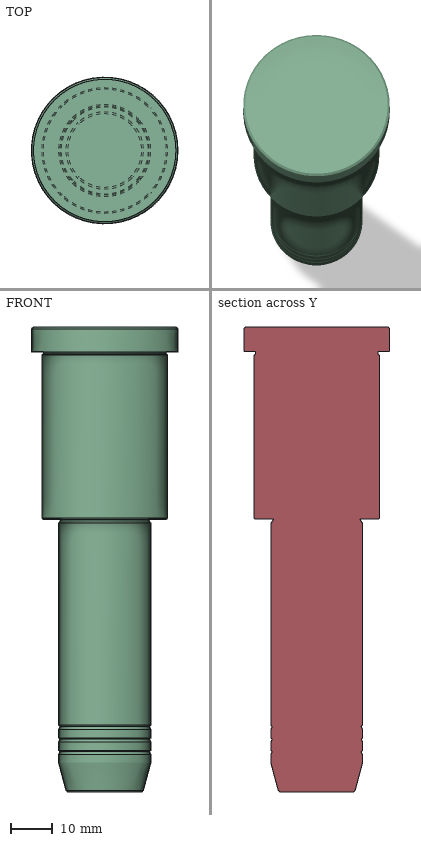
import cadquery as cq
import math

total_length = 111.0
head_radius = 35.0 / 2
head_height = 6.0
head_chamfer = 0.5
body_radius = 30.0 / 2
body_bottom = total_length - 46.0
body_chamfer = 0.3
pin_radius = 22.0 / 2

body_relief_depth = 0.3
body_relief_height = 0.4
pin_relief_depth = 0.61
pin_relief_height = 0.9

taper_start = 7.0
taper_angle = math.radians(15)
tip_chamfer = 0.4

groove_count = 3
groove_pitch = 3.0
groove_width = 1.0
groove_depth = 0.3
lowest_groove_bottom = 9.0


def make_pin():
    taper_height = taper_start - tip_chamfer
    taper_end_radius = pin_radius - taper_height * math.tan(taper_angle)
    head_bottom = total_length - head_height
    body_top = head_bottom - body_relief_height
    body_neck_radius = body_radius - body_relief_depth
    pin_neck_radius = pin_radius - pin_relief_depth
    profile = (
        cq.Workplane("XZ")
        .moveTo(0, 0)
        .lineTo(taper_end_radius - tip_chamfer, 0)
        .lineTo(taper_end_radius, tip_chamfer)
        .lineTo(pin_radius, taper_start)
        .lineTo(pin_radius, body_bottom - pin_relief_height)
        .lineTo(pin_neck_radius, body_bottom)
        .lineTo(body_radius - body_chamfer, body_bottom)
        .lineTo(body_radius, body_bottom + body_chamfer)
        .lineTo(body_radius, body_top - body_relief_depth)
        .lineTo(body_neck_radius, body_top)
        .lineTo(body_neck_radius, head_bottom)
        .lineTo(head_radius, head_bottom)
        .lineTo(head_radius, total_length - head_chamfer)
        .lineTo(head_radius - head_chamfer, total_length)
        .lineTo(0, total_length)
        .close()
    )
    return profile.revolve(360, (0, 0, 0), (0, 1, 0))


def make_groove(bottom):
    """V-shaped ring to remove: 45 degree flank above, longer flank below."""
    top = bottom + groove_width
    return (
        cq.Workplane("XZ")
        .moveTo(pin_radius, bottom)
        .lineTo(pin_radius - groove_depth, top - groove_depth)
        .lineTo(pin_radius, top)
        .close()
        .revolve(360, (0, 0, 0), (0, 1, 0))
    )


result = make_pin()
for index in range(groove_count):
    result = result.cut(make_groove(lowest_groove_bottom + index * groove_pitch))